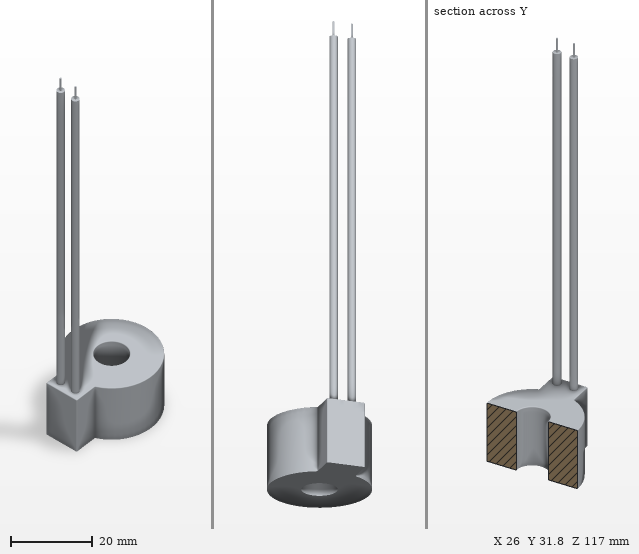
import cadquery as cq

total_height = 117.0
body_height = 17.0
ring_diameter = 26.0
bore_diameter = 9.0
block_width = 10.0
overall_depth = 31.8
edge_round = 0.2

lead_spacing = 4.8
lead_diameter = 2.1
core_diameter = 0.5
bare_length = 4.0
lead_inset = 2.5

ring_radius = ring_diameter / 2
block_reach = overall_depth - ring_radius
lead_y = lead_inset - block_reach
insulation_top = total_height - bare_length


def make_body():
    """Bored ring with a terminal block on its -Y side; all but the bottom edges are rounded."""
    ring = cq.Workplane("XY").circle(ring_radius).extrude(body_height)
    block = (
        cq.Workplane("XY")
        .center(0, -block_reach / 2)
        .rect(block_width, block_reach)
        .extrude(body_height)
    )
    bore = cq.Workplane("XY").circle(bore_diameter / 2).extrude(body_height)
    body = ring.union(block).cut(bore)
    body = body.faces("|X").edges("|Z").fillet(edge_round)
    return body.faces(">Z").edges().fillet(edge_round)


def make_lead(x):
    """Insulated lead standing on the block, with its bare core at the top end."""
    lead_base = cq.Workplane("XY", origin=(x, lead_y, body_height))
    insulation = lead_base.circle(lead_diameter / 2).extrude(insulation_top - body_height)
    core = lead_base.circle(core_diameter / 2).extrude(total_height - body_height)
    return insulation.union(core)


result = make_body()
for side in (-1, 1):
    result = result.union(make_lead(side * lead_spacing / 2))